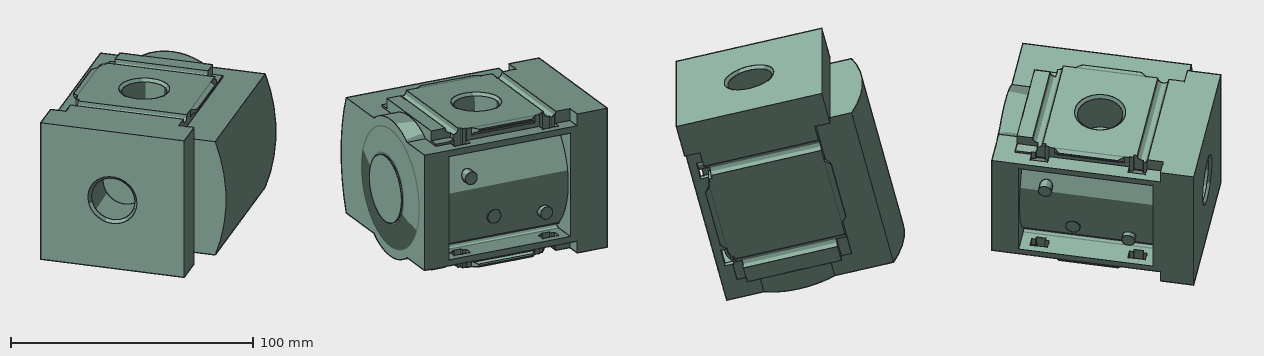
import cadquery as cq

overall_length = 87.2
overall_width = 75.8
body_width = 62.0
body_half = body_width / 2
front_block_length = 14.0
core_end = 76.2
plate_end = 84.85
core_half_width = 24.4
slab_half_height = 25.7

cap_straight_x = 40.1
cap_crown_x = overall_width - body_half

hump_half_chord = 15.1
hump_top = 30.5
cone_base_radius = 26.1
cone_top_radius = 15.3
cone_height = 1.75
disc_diameter = 29.0

port_diameter = 18.7
port_mouth_diameter = 21.1
port_depth = 17.4
port_chamfer = (port_mouth_diameter - port_diameter) / 2
top_port_y = 45.0

groove_radius = 2.35
groove_axis_height = body_half - 0.1
rear_groove_y = 67.3
front_groove_y = 22.9

corner_half_width = 20.05
corner_floor = 26.6

rear_slot_y = 65.7
front_slot_y = 24.6
slot_outer_x = -27.7
slot_step_x = -23.9
slot_inner_x = -22.6
slot_wide = 7.3
slot_narrow = 4.0

window_front_y = 17.2
window_rear_y = 73.5
window_half_height = 23.0
window_depth = 10.5
window_floor_x = window_depth - body_half
drum_radius = 29.0
channel_radius = 2.1

small_pin_diameter = 5.5
small_pin_end_x = -30.1
large_pin_diameter = 6.0
large_pin_end_x = -28.6
pin_root_x = -21.8
pins = [
    (62.7, 11.0, small_pin_diameter, small_pin_end_x),
    (51.2, -8.6, large_pin_diameter, large_pin_end_x),
    (27.7, -11.0, small_pin_diameter, small_pin_end_x),
]

catch_reach = 2.35
catch_length = 29.5
catch_edge_top = 30.7
catch_nose_bottom = 30.1
catch_bevel_z = 29.5
catch_bevel_inset = 0.3
catch_foot_z = 28.9
catch_foot_reach = 0.7
catch_bottom = 27.7


def block(x0, x1, y0, y1, z0, z1):
    """Box between two opposite corners."""
    return cq.Workplane("XY").box(x1 - x0, y1 - y0, z1 - z0, centered=False).translate((x0, y0, z0))


def centred_block(half_x, y0, y1, half_z):
    """Box centred on the Y axis."""
    return block(-half_x, half_x, y0, y1, -half_z, half_z)


def xz_plane(y):
    """XZ plane at a given y; a negative extrusion runs toward +Y."""
    return cq.Workplane(cq.Plane(origin=(0, y, 0), xDir=(1, 0, 0), normal=(0, -1, 0)))


def with_bottom_copy(shape):
    return shape.union(shape.mirror("XY"))


def with_side_copy(shape):
    return shape.union(shape.mirror("YZ"))


def body():
    front = centred_block(body_half, 0, front_block_length, body_half)
    core = centred_block(core_half_width, front_block_length, core_end, body_half)
    slab = centred_block(body_half, front_block_length, plate_end, slab_half_height)
    return front.union(core).union(slab)


def side_cap():
    return (
        xz_plane(front_block_length)
        .moveTo(0, -slab_half_height)
        .lineTo(cap_straight_x, -slab_half_height)
        .threePointArc((cap_crown_x, 0), (cap_straight_x, slab_half_height))
        .lineTo(0, slab_half_height)
        .close()
        .extrude(front_block_length - plate_end)
    )


def humps():
    """Round-topped rises above and below the back plate."""
    hump = (
        xz_plane(core_end)
        .moveTo(-hump_half_chord, 0)
        .lineTo(-hump_half_chord, slab_half_height)
        .threePointArc((0, hump_top), (hump_half_chord, slab_half_height))
        .lineTo(hump_half_chord, 0)
        .close()
        .extrude(core_end - plate_end)
    )
    return with_bottom_copy(hump)


def rear_cover():
    disc_radius = disc_diameter / 2
    return (
        cq.Workplane("XY")
        .moveTo(0, core_end)
        .lineTo(cone_base_radius, core_end)
        .lineTo(cone_base_radius, plate_end)
        .lineTo(cone_top_radius, plate_end + cone_height)
        .lineTo(disc_radius, plate_end + cone_height)
        .lineTo(disc_radius, overall_length)
        .lineTo(0, overall_length)
        .close()
        .revolve(360, (0, 0, 0), (0, 1, 0))
    )


def catches():
    """Catches with a bevelled underside and ends sloping back at 45 degrees."""
    root_x = -core_half_width
    tip_x = root_x - catch_reach
    half = catch_length / 2
    profile = (
        xz_plane(top_port_y - half)
        .polyline([
            (root_x, body_half),
            (tip_x, catch_edge_top),
            (tip_x, catch_nose_bottom),
            (tip_x + catch_bevel_inset, catch_bevel_z),
            (root_x - catch_foot_reach, catch_foot_z),
            (root_x, catch_bottom),
        ])
        .close()
        .extrude(-catch_length)
    )
    plan = (
        cq.Workplane("XY")
        .polyline([
            (root_x, top_port_y - half),
            (tip_x, top_port_y - half + catch_reach),
            (tip_x, top_port_y + half - catch_reach),
            (root_x, top_port_y + half),
        ])
        .close()
        .extrude(body_half)
    )
    return with_side_copy(with_bottom_copy(profile.intersect(plan)))


def ports():
    """Blind ports with chamfered mouths, in the front face and the top face."""
    bore = cq.Workplane("XY").circle(port_diameter / 2).extrude(-port_depth)
    mouth = (
        cq.Workplane("XY")
        .circle(port_mouth_diameter / 2)
        .workplane(offset=-port_chamfer)
        .circle(port_diameter / 2)
        .loft()
    )
    port = bore.union(mouth)
    front_port = port.rotate((0, 0, 0), (1, 0, 0), 90)
    top_port = port.translate((0, top_port_y, body_half))
    return front_port.union(top_port)


def grooves():
    cutters = (
        cq.Workplane("YZ")
        .pushPoints([(rear_groove_y, groove_axis_height), (front_groove_y, groove_axis_height)])
        .circle(groove_radius)
        .extrude(core_half_width, both=True)
    )
    return with_bottom_copy(cutters)


def rear_corners():
    corner = block(
        -core_half_width, -corner_half_width, rear_groove_y, core_end, corner_floor, body_half
    )
    return with_side_copy(with_bottom_copy(corner))


def side_slots():
    """Stepped slots through the window's upper and lower walls; the drum stays whole."""
    cutters = cq.Workplane("XY")
    for y in (rear_slot_y, front_slot_y):
        for inner_x, width in ((slot_step_x, slot_wide), (slot_inner_x, slot_narrow)):
            cutters = cutters.union(
                block(slot_outer_x, inner_x, y - width / 2, y + width / 2, window_half_height, body_half)
            )
    return with_bottom_copy(cutters)


def window():
    """Side window cut around the drum, with a round-cornered channel along top and bottom."""
    opening = block(
        -body_half, window_floor_x, window_front_y, window_rear_y,
        -window_half_height, window_half_height,
    )
    channel_z = window_half_height - channel_radius
    channel = (
        xz_plane(window_front_y)
        .moveTo(window_floor_x, channel_z)
        .lineTo(window_floor_x + channel_radius, channel_z)
        .radiusArc((window_floor_x, window_half_height), -channel_radius)
        .close()
        .extrude(window_front_y - window_rear_y)
    )
    drum = xz_plane(0).circle(drum_radius).extrude(-plate_end)
    return opening.cut(drum).union(with_bottom_copy(channel))


def drum_pins():
    solids = cq.Workplane("XY")
    for y, z, diameter, end_x in pins:
        face = cq.Workplane("YZ", origin=(end_x, y, z)).circle(diameter / 2)
        pin = face.extrude(pin_root_x - end_x)
        solids = solids.union(pin)
    return solids


result = body().union(side_cap()).union(humps()).union(rear_cover()).union(catches())
result = result.cut(rear_corners()).cut(grooves()).cut(ports())
result = result.cut(window()).cut(side_slots()).union(drum_pins())